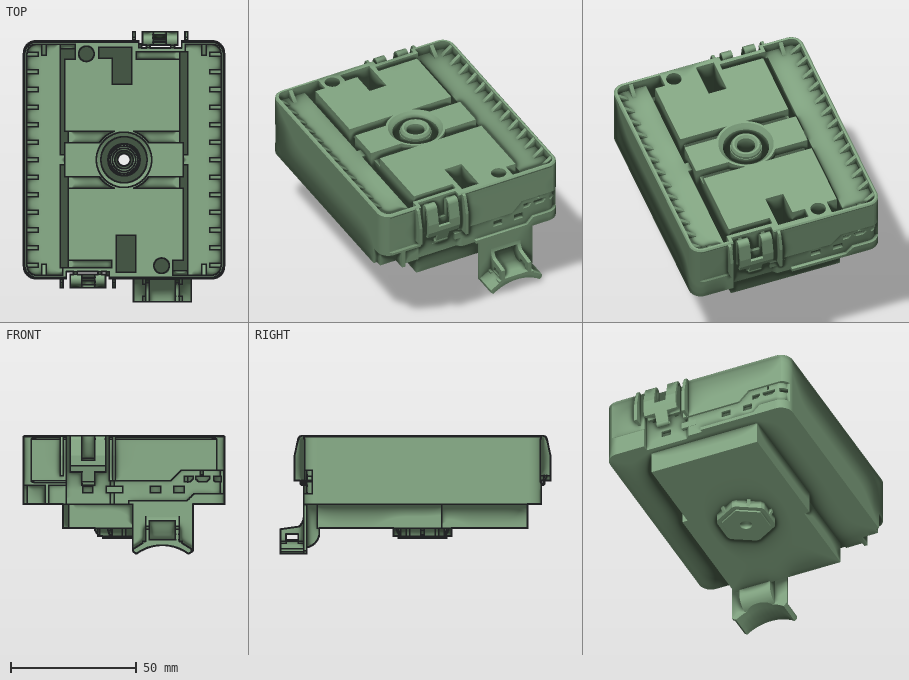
import cadquery as cq
import math

TOTAL_Y = 107.8
BODY_X = 80.2
BODY_Y = 94.9
BODY_TOP = 27.4
CORNER_R = 5.1
RIM_CHAMFER = 0.5
WALL = 1.4
HALF_X = BODY_X / 2
HALF_Y = BODY_Y / 2
INNER_X = HALF_X - WALL
INNER_Y = HALF_Y - WALL

SHELF_Z = 23.3
DEEP_Z = 8.6
TRAY_EDGE_X = 25.5
TRAY_CORNER_X = 24.4
BLOCK_X = 23.7
TRENCH_END_Y = -43.1
TRENCH_X = 22.2
BRIDGE_HALF = 2.0
CROSS_HALF = 6.7
SLOT_OUTER = 11.3
NOTCH_STEP_Z = 15.1

RIB_COUNT = 13
RIB_PITCH = 7.0
RIB_WIDTH = 1.6
RIB_LENGTH = 4.4
RIB_TOP = 26.9
END_RIB_X = 31.9

WELL_D = 18.4
WELL_RIM_D = 22.1
WELL_CONE_DEPTH = 1.9
WELL_WALL_D = 23.9
HUB_D = 12.8
HUB_TOP_D = 12.4
HUB_FACE_D = 11.0
HUB_SHOULDER_DROP = 1.1
HUB_STEP_DROP = 2.2
HUB_HOLE_D = 7.3
HUB_MOUTH_D = 9.3
BORE_D = 5.0
HUB_HOLE_FLOOR = 4.3
SCREW_D = 6.1
SCREW_X = 15.0
SCREW_Y = 42.3

PLATE_BOTTOM = -9.5
PLATE_HALF_Y = 42.0
PLATE_WIDE_X = 24.4
PLATE_NARROW_X = 22.1
PLATE_STEP_Y = 7.8

KNOB_R = 11.6
KNOB_FLAT = 10.5
KNOB_BOTTOM = -12.7
KNOB_CAP_R = 9.7
KNOB_CAP_FLAT = 8.5
KNOB_CAP_BOTTOM = -13.5
WEDGE_WIDTH = 1.4
WEDGE_BOTTOM = -12.1

PANEL_DEPTH = 0.4
BAND_Y = -46.2
BAND_END_Y = -44.1
BAY_LEFT = -23.0
BAY_RIGHT = -5.9
BAY_Y = -44.6
LATCH_REACH = 3.7
LATCH_Y = -HALF_Y - LATCH_REACH
LATCH_LEFT = -21.5
LATCH_RIGHT = -7.3
KNEE_Z = 19.4
TONGUE_LEFT = -16.8
TONGUE_RIGHT = -11.6
SLOT_BOTTOM = 17.5
SLOT_BACK_BOTTOM = 18.4
FIN_WIDTH = 1.2
LEFT_FIN_X = -24.9
LEFT_FIN_BOTTOM = 11.4
RIGHT_FIN_X = -4.0
RIGHT_FIN_BOTTOM = 9.4
STRIP = 1.2

BRACKET_X = 15.3
BRACKET_BOTTOM = -19.8
BRACKET_Y = -LATCH_Y - TOTAL_Y


def box(x0, x1, y0, y1, z0, z1):
    """Box between two opposite corners."""
    return cq.Workplane("XY").box(x1 - x0, y1 - y0, z1 - z0, centered=False).translate((x0, y0, z0))


def prism_x(points, x0, x1):
    """Extrude a (y, z) outline from x0 to x1."""
    return cq.Workplane("YZ").polyline(points).close().extrude(x1 - x0).translate((x0, 0, 0))


def prism_y(points, y0, y1):
    """Extrude an (x, z) outline from y0 to y1."""
    return cq.Workplane("XZ").polyline(points).close().extrude(y0 - y1).translate((0, y0, 0))


def cylinder(diameter, z0, z1, x=0, y=0):
    return cq.Workplane("XY").circle(diameter / 2).extrude(z1 - z0).translate((x, y, z0))


def turned(shape):
    """The same shape half a turn round the bore axis."""
    return shape.rotate((0, 0, 0), (0, 0, 1), 180)


def both_ends(shape):
    return shape.union(turned(shape))


def rounded_block(inset):
    """The body outline, moved inward by the inset, at full height."""
    block = box(inset - HALF_X, HALF_X - inset, inset - HALF_Y, HALF_Y - inset, 0, BODY_TOP)
    return block.edges("|Z").fillet(CORNER_R - inset)


def body():
    return rounded_block(0).faces(">Z").edges().chamfer(RIM_CHAMFER)


def side_tray():
    tray = box(-INNER_X, -TRAY_EDGE_X, -INNER_Y, INNER_Y, SHELF_Z, BODY_TOP)
    tray = tray.edges("|Z and <X").fillet(CORNER_R - WALL)
    tray = tray.union(box(-TRAY_EDGE_X, -TRAY_CORNER_X, -INNER_Y, TRENCH_END_Y, SHELF_Z, BODY_TOP))
    for i in range(RIB_COUNT):
        y = (i - (RIB_COUNT - 1) / 2) * RIB_PITCH
        rib = prism_y(
            [(-INNER_X, SHELF_Z), (-INNER_X + RIB_LENGTH, SHELF_Z), (-INNER_X, RIB_TOP)],
            y - RIB_WIDTH / 2, y + RIB_WIDTH / 2)
        tray = tray.cut(rib)
    for side in (-1, 1):
        end_rib = prism_x(
            [(side * INNER_Y, SHELF_Z), (side * (INNER_Y - RIB_LENGTH), SHELF_Z), (side * INNER_Y, RIB_TOP)],
            -END_RIB_X - RIB_WIDTH / 2, -END_RIB_X + RIB_WIDTH / 2)
        tray = tray.cut(end_rib)
    return tray


def trenches():
    """Deep trenches and shallow slots on the -X side."""
    block_end = -40.1
    notch_x = -19.4
    step_y = 44.2
    shallow_end_x = -4.9
    front = box(-TRAY_EDGE_X, -TRENCH_X, TRENCH_END_Y, -CROSS_HALF, DEEP_Z, BODY_TOP)
    middle = box(-TRAY_EDGE_X, -BLOCK_X, -CROSS_HALF, -BRIDGE_HALF, DEEP_Z, BODY_TOP)
    bridge = box(-TRAY_EDGE_X, -BLOCK_X, -BRIDGE_HALF, BRIDGE_HALF, SHELF_Z, BODY_TOP)
    back = box(-TRAY_EDGE_X, -BLOCK_X, BRIDGE_HALF, step_y, DEEP_Z, BODY_TOP)
    joint = box(-TRAY_EDGE_X, -TRENCH_X, CROSS_HALF, SLOT_OUTER, DEEP_Z, BODY_TOP)
    notch = box(-TRAY_EDGE_X, notch_x, -block_end, step_y, DEEP_Z, BODY_TOP)
    step = box(-TRAY_EDGE_X, notch_x, step_y, INNER_Y, NOTCH_STEP_Z, BODY_TOP)
    shallow = box(-TRENCH_X, shallow_end_x, TRENCH_END_Y, block_end, SHELF_Z, BODY_TOP)
    cuts = front
    for part in (middle, bridge, back, joint, notch, step, shallow):
        cuts = cuts.union(part)
    return cuts


def cross_slots():
    slot = box(-TRENCH_X, TRENCH_X, CROSS_HALF, SLOT_OUTER, SHELF_Z, BODY_TOP)
    return both_ends(slot).cut(cylinder(WELL_WALL_D, SHELF_Z, BODY_TOP))


def pockets():
    """Long pocket and screw hole at both ends, with a side arm at the back only."""
    pocket_left = -4.6
    pocket_right = 3.0
    pocket_front = 30.1
    pocket_back = 44.9
    arm_left = -10.0
    arm_front = 40.5
    long_pocket = box(pocket_left, pocket_right, pocket_front, pocket_back, DEEP_Z, BODY_TOP)
    side_arm = box(arm_left, pocket_left, arm_front, pocket_back, DEEP_Z, BODY_TOP)
    screw = cylinder(SCREW_D, DEEP_Z, BODY_TOP, -SCREW_X, SCREW_Y)
    return both_ends(long_pocket.union(screw)).union(side_arm)


def well():
    """Conical-mouthed well around a hollow hub."""
    cone_z = BODY_TOP - WELL_CONE_DEPTH
    shoulder_z = BODY_TOP - HUB_SHOULDER_DROP
    step_z = BODY_TOP - HUB_STEP_DROP
    profile = [
        (HUB_D / 2, DEEP_Z), (WELL_D / 2, DEEP_Z), (WELL_D / 2, cone_z), (WELL_RIM_D / 2, BODY_TOP),
        (HUB_FACE_D / 2, BODY_TOP), (HUB_TOP_D / 2, shoulder_z),
        (HUB_TOP_D / 2, step_z), (HUB_D / 2, step_z),
    ]
    return cq.Workplane("XZ").polyline(profile).close().revolve(360, (0, 0, 0), (0, 1, 0))


def bore():
    mouth = (HUB_MOUTH_D - HUB_HOLE_D) / 2
    taper = (HUB_HOLE_D - BORE_D) / 2
    profile = [
        (0, KNOB_CAP_BOTTOM), (BORE_D / 2, KNOB_CAP_BOTTOM), (BORE_D / 2, HUB_HOLE_FLOOR - taper),
        (HUB_HOLE_D / 2, HUB_HOLE_FLOOR), (HUB_HOLE_D / 2, BODY_TOP - mouth),
        (HUB_MOUTH_D / 2, BODY_TOP), (0, BODY_TOP),
    ]
    return cq.Workplane("XZ").polyline(profile).close().revolve(360, (0, 0, 0), (0, 1, 0))


BAND_TOP_LOW = 9.3
BAND_TOP_HIGH = 13.6
BAND_BOTTOM_LOW = 1.4
BAND_BOTTOM_HIGH = 4.2
PANEL_TOP = 26.6
PANEL_SLOPE = 0.8
LEDGE_Z = 7.5
BAND_UPPER_EDGE = [
    (BAY_RIGHT, BAND_TOP_LOW), (18.5, BAND_TOP_LOW), (22.9, BAND_TOP_HIGH), (HALF_X, BAND_TOP_HIGH),
]
BAND_LOWER_EDGE = [
    (HALF_X, BAND_BOTTOM_HIGH), (27.9, BAND_BOTTOM_HIGH), (25.1, BAND_BOTTOM_LOW),
    (1.9, BAND_BOTTOM_LOW), (1.9, 0), (BAY_RIGHT, 0),
]


def panel_section(bottom):
    """(y, z) section of a shallow panel with sloped top and bottom edges."""
    face = PANEL_DEPTH - HALF_Y
    return [
        (-HALF_Y, PANEL_TOP), (face, PANEL_TOP - PANEL_SLOPE),
        (face, bottom + PANEL_SLOPE), (-HALF_Y, bottom),
    ]


def end_wall_cuts():
    left_panel = prism_x(panel_section(BAND_TOP_LOW - PANEL_SLOPE), -HALF_X, BAY_LEFT)
    right_panel = prism_x(panel_section(0), BAY_RIGHT, HALF_X)
    above_band = BAND_UPPER_EDGE + [(HALF_X, BODY_TOP), (BAY_RIGHT, BODY_TOP)]
    right_panel = right_panel.intersect(prism_y(above_band, -HALF_Y, BAND_Y))

    core = rounded_block(HALF_Y + BAND_Y)
    band = prism_y(BAND_UPPER_EDGE + BAND_LOWER_EDGE, -HALF_Y, BAND_END_Y).cut(core)

    bay = box(BAY_LEFT, BAY_RIGHT, -HALF_Y, BAY_Y, 0, BODY_TOP)
    slope_start = -5.4
    slope_end = slope_start + BAY_Y - BAND_Y
    bay_slope = (
        cq.Workplane("XY")
        .polyline([(BAY_RIGHT, BAY_Y), (BAY_RIGHT, BAND_Y), (slope_end, BAND_Y), (slope_start, BAY_Y)])
        .close().extrude(BAND_TOP_LOW))

    cuts = left_panel
    for part in (right_panel, band, bay, bay_slope):
        cuts = cuts.union(part)
    return cuts


CATCH_BOTTOM = 4.5
CATCH_TOP = 7.2
OPENING_DEPTH = 1.6


def wall_openings():
    """Shallow rectangular and bevelled openings in the band."""
    inner = BAND_Y + OPENING_DEPTH
    cuts = box(-16.5, -12.4, BAY_Y, BAY_Y + OPENING_DEPTH, CATCH_BOTTOM, CATCH_TOP)
    for left, right in ((10.6, 14.7), (20.0, 24.0)):
        cuts = cuts.union(box(left, right, BAND_Y, inner, CATCH_BOTTOM, CATCH_TOP))

    vent_top = 11.1
    vent_bottom = 9.0
    bevel = 1.2
    corner_depth = 3.8
    for left, right, bevel_left, bevel_right, depth in (
            (24.0, 27.6, 0, bevel, OPENING_DEPTH),
            (28.6, 34.2, bevel, bevel, OPENING_DEPTH),
            (35.8, 38.8, 0.5, 0, corner_depth)):
        outline = [(left, vent_top), (right, vent_top)]
        if bevel_right:
            outline.append((right, vent_bottom + bevel_right))
        outline += [(right - bevel_right, vent_bottom), (left + bevel_left, vent_bottom)]
        if bevel_left:
            outline.append((left, vent_bottom + bevel_left))
        cuts = cuts.union(prism_y(outline, BAND_Y, BAND_Y + depth))
    vent_notch = box(30.5, 31.6, BAND_Y, inner, 11.8, BAND_TOP_HIGH)
    return cuts.union(vent_notch)


def catch_bump():
    """Block bridging the step between the latch bay and the band."""
    left = -7.0
    right = -0.5
    proud = 0.1
    return box(left, right, BAND_Y - proud, BAY_Y, CATCH_BOTTOM, CATCH_TOP)


def corner_notch():
    """Undercut at the lower front corner, below the ledge."""
    web_left = -31.5
    web_right = -30.1
    block_x = -38.6
    block_y = -42.1
    side_end_y = -39.5
    pocket_y = -45.5
    corner = box(-HALF_X, web_left, -HALF_Y, block_y, 0, LEDGE_Z)
    side = box(-HALF_X, block_x, -HALF_Y, side_end_y, 0, LEDGE_Z)
    pocket = box(web_right, BAY_LEFT, -HALF_Y, pocket_y, 0, LEDGE_Z)
    return corner.union(side).union(pocket)


def latch():
    """Hooked strip: back leg, rounded crown, sloped front leg and curled tongue."""
    back_y = BAY_Y - 1.1
    crown_z = BODY_TOP - 1.5
    crown_front_y = -49.7
    back_bottom = 12.9
    chin_z = 15.4
    chin_bottom = 12.8
    curl_z = 9.1
    curl_bottom = 7.5
    curl_front_y = -48.7
    curl_r = 1.1
    curl_y = curl_front_y + curl_r
    curl_back_y = curl_y + curl_r
    thin = 0.6
    chin_y = LATCH_Y + (curl_front_y - LATCH_Y) * (chin_z - chin_bottom) / (chin_z - curl_z)
    crown_mid_y = (back_y + crown_front_y) / 2
    strip = (
        cq.Workplane("YZ")
        .moveTo(back_y, back_bottom)
        .lineTo(back_y, crown_z)
        .threePointArc((crown_mid_y, BODY_TOP), (crown_front_y, crown_z))
        .lineTo(LATCH_Y, KNEE_Z)
        .lineTo(LATCH_Y, chin_z)
        .lineTo(chin_y, chin_bottom)
        .lineTo(chin_y + STRIP, chin_bottom)
        .lineTo(LATCH_Y + STRIP, chin_z)
        .lineTo(LATCH_Y + STRIP, KNEE_Z)
        .lineTo(crown_front_y + STRIP, crown_z)
        .threePointArc((crown_mid_y, BODY_TOP - STRIP), (back_y - STRIP, crown_z))
        .lineTo(back_y - STRIP, back_bottom)
        .close()
        .extrude(LATCH_RIGHT - LATCH_LEFT)
        .translate((LATCH_LEFT, 0, 0)))
    strip = strip.cut(box(TONGUE_LEFT, TONGUE_RIGHT, LATCH_Y, back_y - STRIP, SLOT_BOTTOM, BODY_TOP))
    strip = strip.cut(box(TONGUE_LEFT, TONGUE_RIGHT, back_y - STRIP, BAY_Y, SLOT_BACK_BOTTOM, BODY_TOP))

    tongue = (
        cq.Workplane("YZ")
        .moveTo(chin_y, chin_bottom)
        .lineTo(curl_front_y, curl_z)
        .threePointArc((curl_y, curl_bottom), (curl_back_y, curl_z))
        .lineTo(curl_back_y - thin, curl_z)
        .threePointArc((curl_y, curl_bottom + thin), (curl_front_y + thin, curl_z))
        .lineTo(chin_y + STRIP, chin_bottom)
        .close()
        .extrude(TONGUE_RIGHT - TONGUE_LEFT)
        .translate((TONGUE_LEFT, 0, 0)))

    shape = strip.union(tongue)
    pad_width = 1.5
    for pad_left in (-20.2, -10.5):
        pad = box(pad_left, pad_left + pad_width, back_y - STRIP, BAY_Y, back_bottom, crown_z)
        shape = shape.union(pad)
    return shape


def fin(x_center, bottom):
    """Guard fin with a rounded-off top, rooted inside the end wall."""
    root_y = 2 * PANEL_DEPTH - HALF_Y
    profile = [
        (root_y, BODY_TOP - RIM_CHAMFER), (-HALF_Y - 0.4, BODY_TOP), (-HALF_Y - 1.5, BODY_TOP - 0.3),
        (-HALF_Y - 2.2, BODY_TOP - 1.7), (LATCH_Y, KNEE_Z), (LATCH_Y, bottom), (root_y, bottom),
    ]
    return prism_x(profile, x_center - FIN_WIDTH / 2, x_center + FIN_WIDTH / 2)


def lower_plate():
    wide = box(-PLATE_WIDE_X, 0, -PLATE_STEP_Y, PLATE_HALF_Y, PLATE_BOTTOM, 0)
    narrow = box(-PLATE_NARROW_X, 0, -PLATE_HALF_Y, -PLATE_STEP_Y, PLATE_BOTTOM, 0)
    return both_ends(wide.union(narrow))


def flatted_disc(radius, flat, z0, z1):
    """Disc with six flats, two of them facing along X."""
    hexagon = (
        cq.Workplane("XY").polygon(6, 2 * flat / math.cos(math.pi / 6)).extrude(z1 - z0)
        .rotate((0, 0, 0), (0, 0, 1), 30).translate((0, 0, z0)))
    return hexagon.intersect(cylinder(2 * radius, z0, z1))


def knob():
    """Two flatted discs with a small wedge on each flat."""
    shape = flatted_disc(KNOB_R, KNOB_FLAT, KNOB_BOTTOM, PLATE_BOTTOM)
    shape = shape.union(flatted_disc(KNOB_CAP_R, KNOB_CAP_FLAT, KNOB_CAP_BOTTOM, KNOB_BOTTOM))
    root = KNOB_FLAT - 0.5
    wedge_tip_z = PLATE_BOTTOM - 0.9
    wedge = prism_y(
        [(root, PLATE_BOTTOM), (KNOB_R, PLATE_BOTTOM), (KNOB_R, wedge_tip_z),
         (KNOB_FLAT, WEDGE_BOTTOM), (root, WEDGE_BOTTOM)],
        -WEDGE_WIDTH / 2, WEDGE_WIDTH / 2)
    for i in range(6):
        shape = shape.union(wedge.rotate((0, 0, 0), (0, 0, 1), 60 * i))
    return shape


SADDLE_HALF = 11.5
SADDLE_LEFT = BRACKET_X - SADDLE_HALF
SADDLE_RIGHT = BRACKET_X + SADDLE_HALF
BRACKET_LEFT = 3.5
BRACKET_RIGHT = 27.6
BRACKET_CORNER_Z = -18.5
SADDLE_TIP = 1.1
ARCH_TOP = -16.4
LIP_TOP = -17.8
LIP_BEVEL = -19.0
LIP_ROOT_Z = -14.8
RIB_FOOT_Z = -15.2
FLOOR_Z = -14.1
RIB_OUTER = 6.7
RIB_INNER = 5.2
FLOOR_FILLET = 2.8
RIB_END_Z = -9.9
HEADER_TOP = -5.1
HEADER_BOTTOM = -6.6
WINDOW_FRONT = -54.5
WINDOW_BACK = -49.6
WINDOW_TOP = -12.0
PLATE_OUTLINE = [
    (BRACKET_LEFT, BRACKET_CORNER_Z), (BRACKET_LEFT, 0),
    (BRACKET_RIGHT, 0), (BRACKET_RIGHT, BRACKET_CORNER_Z),
]


def arched(top_points, y0, y1):
    """Extrude an (x, z) outline that is closed below by the saddle arch."""
    path = cq.Workplane("XZ").polyline(top_points)
    path = path.lineTo(SADDLE_RIGHT - SADDLE_TIP, BRACKET_BOTTOM)
    path = path.threePointArc((BRACKET_X, ARCH_TOP), (SADDLE_LEFT + SADDLE_TIP, BRACKET_BOTTOM))
    return path.close().extrude(y0 - y1).translate((0, y0, 0))


def bracket_rib(x0, x1):
    """Rib with a concave root where it leaves the plate."""
    rib = (
        cq.Workplane("YZ")
        .moveTo(BAND_Y, RIB_FOOT_Z)
        .lineTo(BAND_Y, HEADER_TOP)
        .lineTo(-HALF_Y, HEADER_TOP)
        .threePointArc((-HALF_Y - 0.49, -7.1), (-HALF_Y - 1.7, -8.8))
        .lineTo(BRACKET_Y, RIB_END_Z)
        .lineTo(BRACKET_Y, RIB_FOOT_Z)
        .close()
        .extrude(x1 - x0))
    return rib.translate((x0, 0, 0))


def bracket():
    """Plate, arched saddle, ribs and the hollow bulge behind the plate."""
    plate = arched(PLATE_OUTLINE, -HALF_Y, BAND_Y)
    left_root = BRACKET_X - RIB_OUTER
    right_root = BRACKET_X + RIB_OUTER
    saddle = arched(
        [(SADDLE_LEFT, LIP_BEVEL), (SADDLE_LEFT, LIP_TOP), (left_root, LIP_ROOT_Z), (left_root, FLOOR_Z),
         (right_root, FLOOR_Z), (right_root, LIP_ROOT_Z),
         (SADDLE_RIGHT, LIP_TOP), (SADDLE_RIGHT, LIP_BEVEL)],
        BRACKET_Y, -HALF_Y)

    left_inner = BRACKET_X - RIB_INNER
    right_inner = BRACKET_X + RIB_INNER
    ribs = bracket_rib(left_root, left_inner).union(bracket_rib(right_inner, right_root))
    ribs = ribs.cut(box(left_root, right_root, WINDOW_FRONT, WINDOW_BACK, FLOOR_Z, WINDOW_TOP))
    header = bracket_rib(left_root, right_root).intersect(
        box(left_root, right_root, BRACKET_Y, BAND_Y, HEADER_BOTTOM, HEADER_TOP))

    shape = plate.union(saddle).union(ribs).union(header)

    pad_width = 1.2
    for y0, y1 in ((BRACKET_Y, WINDOW_FRONT), (WINDOW_BACK, -HALF_Y)):
        for x0 in (left_root - pad_width, right_root):
            shape = shape.union(box(x0, x0 + pad_width, y0, y1, ARCH_TOP, LIP_ROOT_Z))

    bulge_back = -41.2
    bulge = (
        cq.Workplane("YZ").moveTo(BAND_Y, 0).lineTo(-PLATE_HALF_Y, 0).lineTo(-PLATE_HALF_Y, PLATE_BOTTOM)
        .lineTo(bulge_back, PLATE_BOTTOM).threePointArc((-42.1, -14.5), (BAND_Y, -17.3))
        .close().extrude(2 * RIB_OUTER).translate((left_root, 0, 0)))
    bulge = bulge.intersect(arched(PLATE_OUTLINE, BAND_Y, bulge_back))

    recess_back = -HALF_Y + FLOOR_FILLET
    recess = (
        cq.Workplane("YZ").moveTo(-HALF_Y, FLOOR_Z)
        .radiusArc((recess_back, FLOOR_Z + FLOOR_FILLET), -FLOOR_FILLET)
        .lineTo(recess_back, HEADER_BOTTOM).lineTo(-HALF_Y, HEADER_BOTTOM)
        .close().extrude(2 * RIB_INNER).translate((left_inner, 0, 0)))
    return shape.union(bulge).cut(recess)


result = body().union(lower_plate()).union(knob())
result = result.cut(both_ends(side_tray())).cut(both_ends(trenches())).cut(cross_slots())
result = result.cut(pockets()).cut(well()).cut(bore())
result = result.cut(both_ends(end_wall_cuts())).cut(both_ends(wall_openings())).cut(corner_notch())
guard_fins = fin(LEFT_FIN_X, LEFT_FIN_BOTTOM).union(fin(RIGHT_FIN_X, RIGHT_FIN_BOTTOM))
for feature in (catch_bump(), latch(), guard_fins):
    result = result.union(both_ends(feature))
result = result.union(bracket())